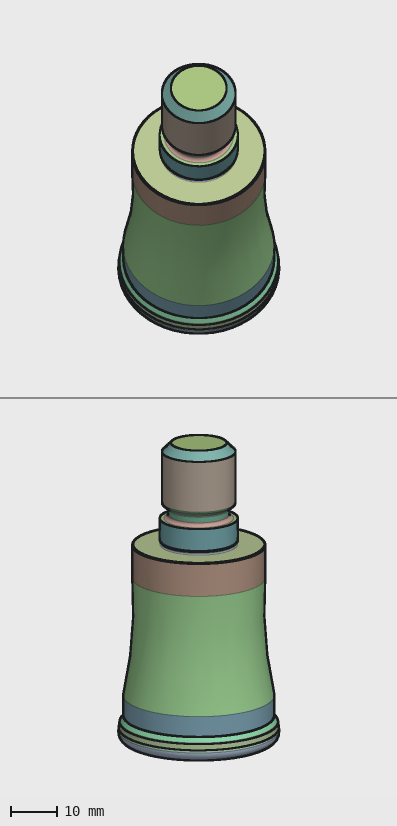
import cadquery as cq
import math


disc_diameter = 35.0
disc_radius = disc_diameter / 2
corner_radius = 2.0
foot_radius = 12.9
foot_taper = math.radians(13)
side_taper = math.radians(7)
disc_height = 3.5

wall_top_z = 4.8
flare_bottom_radius = 17.1
flare_bottom_z = 5.0
flare_top_z = 6.1
skirt_radius = 16.45
skirt_chamfer = 0.15
skirt_top_z = 10.8
shoulder_radius = 14.5
shoulder_bottom_z = 37.5
shoulder_top_z = 45.0
shoulder_chamfer = 0.2
waist_curve_radius = 92.5

collar_radius = 8.5
collar_bottom_z = 45.6
collar_top_z = 50.9
collar_chamfer = 0.35
groove_fillet = 0.3
groove_radius = collar_radius - collar_chamfer

stud_radius = 8.0
stud_chamfer = 2.0
stud_bottom_z = 54.3
stud_rounding = 0.6
neck_radius = 6.65
neck_top_z = 53.25
neck_top_fillet = 0.35
neck_bottom_fillet = 0.9
overall_height = 68.0

corner_center_r = disc_radius - corner_radius
foot_tangent_r = corner_center_r + corner_radius * math.sin(foot_taper)
foot_tangent_z = (foot_tangent_r - foot_radius) * math.tan(foot_taper)
corner_center_z = foot_tangent_z + corner_radius * math.cos(foot_taper)
wall_tangent_r = corner_center_r + corner_radius * math.cos(side_taper)
wall_tangent_z = corner_center_z + corner_radius * math.sin(side_taper)


def side_wall_radius(z):
    """Radius of the tapered side wall at height z."""
    return wall_tangent_r - (z - wall_tangent_z) * math.tan(side_taper)


def revolve_about_z(profile):
    """Turn a closed profile, drawn as (radius, height) on XZ, about the Z axis."""
    return profile.close().revolve(360, (0, 0, 0), (0, 1, 0))


def round_corner(before, corner, after, radius):
    """Start, middle and end of the arc that rounds the corner of the path before-corner-after."""
    to_before = (cq.Vector(*before) - cq.Vector(*corner)).normalized()
    to_after = (cq.Vector(*after) - cq.Vector(*corner)).normalized()
    half_angle = to_before.getAngle(to_after) / 2
    setback = radius / math.tan(half_angle)
    middle_gap = radius / math.sin(half_angle) - radius
    inward = (to_before + to_after).normalized()
    offsets = (to_before * setback, inward * middle_gap, to_after * setback)
    return [(corner[0] + offset.x, corner[1] + offset.y) for offset in offsets]


def make_cutting_disc():
    corner_mid_angle = (side_taper + foot_taper - math.pi / 2) / 2
    corner_mid = (
        corner_center_r + corner_radius * math.cos(corner_mid_angle),
        corner_center_z + corner_radius * math.sin(corner_mid_angle),
    )
    profile = (
        cq.Workplane("XZ")
        .moveTo(0, 0)
        .lineTo(foot_radius, 0)
        .lineTo(foot_tangent_r, foot_tangent_z)
        .threePointArc(corner_mid, (wall_tangent_r, wall_tangent_z))
        .lineTo(side_wall_radius(disc_height), disc_height)
        .lineTo(0, disc_height)
    )
    return revolve_about_z(profile)


def make_holder_body():
    """Tapered wall, flared rim, straight skirt, concave waist and cylindrical shoulder."""
    profile = (
        cq.Workplane("XZ")
        .moveTo(0, disc_height)
        .lineTo(side_wall_radius(disc_height), disc_height)
        .lineTo(side_wall_radius(wall_top_z), wall_top_z)
        .lineTo(flare_bottom_radius, flare_bottom_z)
        .lineTo(skirt_radius - skirt_chamfer, flare_top_z)
        .lineTo(skirt_radius, flare_top_z + skirt_chamfer)
        .lineTo(skirt_radius, skirt_top_z)
        .radiusArc((shoulder_radius, shoulder_bottom_z), waist_curve_radius)
        .lineTo(shoulder_radius, shoulder_top_z - shoulder_chamfer)
        .lineTo(shoulder_radius - shoulder_chamfer, shoulder_top_z)
        .lineTo(0, shoulder_top_z)
    )
    return revolve_about_z(profile)


def make_shank():
    """Groove, pilot collar, undercut neck and chamfered stud."""
    groove_top = (groove_radius, collar_bottom_z)
    groove_foot = (groove_radius, shoulder_top_z)
    shoulder_edge = (shoulder_radius, shoulder_top_z)
    collar_edge = (collar_radius, collar_top_z)
    neck_foot = (neck_radius, collar_top_z)
    neck_top = (neck_radius, neck_top_z)
    stud_bottom = (stud_radius, stud_bottom_z)
    stud_top = (stud_radius, overall_height - stud_chamfer)

    groove_arc = round_corner(shoulder_edge, groove_foot, groove_top, groove_fillet)
    neck_foot_arc = round_corner(collar_edge, neck_foot, neck_top, neck_bottom_fillet)
    neck_top_arc = round_corner(neck_foot, neck_top, stud_bottom, neck_top_fillet)
    stud_arc = round_corner(neck_top, stud_bottom, stud_top, stud_rounding)

    profile = (
        cq.Workplane("XZ")
        .moveTo(0, shoulder_top_z)
        .lineTo(*groove_arc[0])
        .threePointArc(*groove_arc[1:])
        .lineTo(*groove_top)
        .lineTo(collar_radius, collar_bottom_z + collar_chamfer)
        .lineTo(*collar_edge)
        .lineTo(*neck_foot_arc[0])
        .threePointArc(*neck_foot_arc[1:])
        .lineTo(*neck_top_arc[0])
        .threePointArc(*neck_top_arc[1:])
        .lineTo(*stud_arc[0])
        .threePointArc(*stud_arc[1:])
        .lineTo(*stud_top)
        .lineTo(stud_radius - stud_chamfer, overall_height)
        .lineTo(0, overall_height)
    )
    return revolve_about_z(profile)


cutting_disc = make_cutting_disc()
holder = make_holder_body().union(make_shank())

result = cq.Compound.makeCompound([cutting_disc.val(), holder.val()])